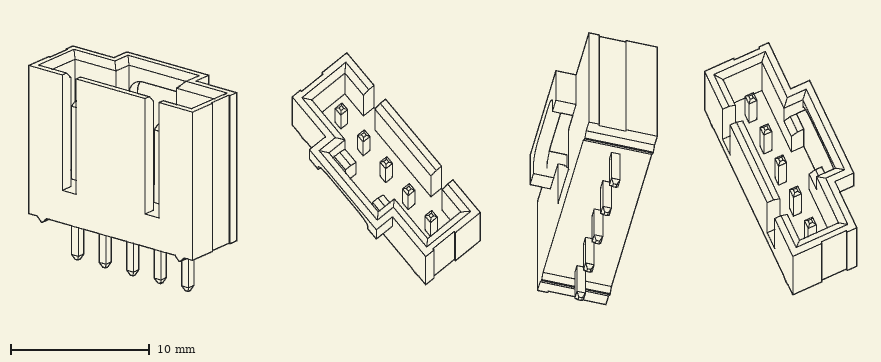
import cadquery as cq


body_width = 15.16
body_depth = 5.1
body_height = 11.43
wall = 1.0
mouth_flare = wall / 2
floor_height = 2.53

tab_width = 7.6
tab_overhang = 1.5
tab_height = 3.8
tab_inner_width = tab_width - 2 * wall

window_drop = 1.5
window_corner_radius = 1.25

front_slot_width = 1.29
front_slot_spacing = 7.65
rear_slot_width = 3.08
groove_width = 2.0
groove_depth = 0.12
groove_center_y = 3.32

rib_spacing = 12.73
rib_height = 0.38
rib_tip_width = 0.09
rib_base_width = rib_tip_width + 2 * rib_height

pin_count = 5
pin_pitch = 2.55
pin_size = 0.64
pin_tip_size = 0.26
pin_tip_length = 0.4
pin_below = 3.68
pin_above_floor = 6.0

tab_rear = body_depth + tab_overhang
tab_bottom = body_height - tab_height
window_top = body_height - window_drop


def block(width, y_front, y_rear, z_bottom, z_top, x_center=0.0):
    """Box centred on x_center, spanning the given Y and Z ranges."""
    return (
        cq.Workplane("XY")
        .box(width, y_rear - y_front, z_top - z_bottom, centered=(True, False, False))
        .translate((x_center, y_front, z_bottom))
    )


def flared_pocket(width, y_front, y_rear, z_bottom):
    """Pocket open at the top of the housing, with a 45 degree flare around its mouth."""
    straight_top = body_height - mouth_flare
    mouth = (
        cq.Workplane("XY", origin=(0, (y_front + y_rear) / 2, straight_top))
        .rect(width, y_rear - y_front)
        .workplane(offset=mouth_flare)
        .rect(width + 2 * mouth_flare, y_rear - y_front + 2 * mouth_flare)
        .loft()
    )
    return block(width, y_front, y_rear, z_bottom, straight_top).union(mouth)


def rear_ledge_bevel():
    """Bevel along the inner edge of the rear wall where it passes below the tab."""
    inner_face = body_depth - wall
    return (
        cq.Workplane("YZ")
        .moveTo(inner_face, tab_bottom - mouth_flare)
        .lineTo(inner_face + mouth_flare, tab_bottom)
        .lineTo(inner_face, tab_bottom)
        .close()
        .extrude(tab_inner_width / 2, both=True)
    )


def tab_window():
    """Opening in the tab's outer wall, open below and rounded at its top corners."""
    return (
        block(tab_inner_width, tab_rear - wall, tab_rear, tab_bottom, window_top)
        .edges("|Y and >Z")
        .fillet(window_corner_radius)
    )


def crush_rib(x_center):
    """Tapered rib running the full depth of the underside."""
    return (
        cq.Workplane("XZ")
        .moveTo(x_center - rib_base_width / 2, 0)
        .lineTo(x_center - rib_tip_width / 2, -rib_height)
        .lineTo(x_center + rib_tip_width / 2, -rib_height)
        .lineTo(x_center + rib_base_width / 2, 0)
        .close()
        .extrude(-body_depth)
    )


def pin(x_center):
    """Square pin through the floor, tapered at both ends."""
    bottom = -pin_below + pin_tip_length
    top = floor_height + pin_above_floor - pin_tip_length
    y_center = body_depth / 2
    shank = block(pin_size, y_center - pin_size / 2, y_center + pin_size / 2, bottom, top, x_center)
    for z, direction in ((bottom, -1), (top, 1)):
        tip = (
            cq.Workplane("XY", origin=(x_center, y_center, z))
            .rect(pin_size, pin_size)
            .workplane(offset=direction * pin_tip_length)
            .rect(pin_tip_size, pin_tip_size)
            .loft()
        )
        shank = shank.union(tip)
    return shank


housing = block(body_width, 0, body_depth, 0, body_height)
housing = housing.union(block(tab_width, 0, tab_rear, tab_bottom, body_height))
housing = housing.cut(flared_pocket(body_width - 2 * wall, wall, body_depth - wall, floor_height))
housing = housing.cut(flared_pocket(tab_inner_width, body_depth / 2, tab_rear - wall, tab_bottom))
housing = housing.cut(rear_ledge_bevel())
housing = housing.cut(tab_window())

housing = housing.cut(
    block(rear_slot_width, body_depth - wall, body_depth, floor_height, tab_bottom)
)
for side in (-1, 1):
    slot_x = side * front_slot_spacing / 2
    housing = housing.cut(block(front_slot_width, 0, wall, floor_height, body_height, slot_x))

for side in (-1, 1):
    housing = housing.cut(
        block(
            2 * groove_depth,
            groove_center_y - groove_width / 2,
            groove_center_y + groove_width / 2,
            0,
            body_height,
            side * body_width / 2,
        )
    )

for side in (-1, 1):
    housing = housing.union(crush_rib(side * rib_spacing / 2))

for index in range(pin_count):
    housing = housing.union(pin((index - (pin_count - 1) / 2) * pin_pitch))

result = housing